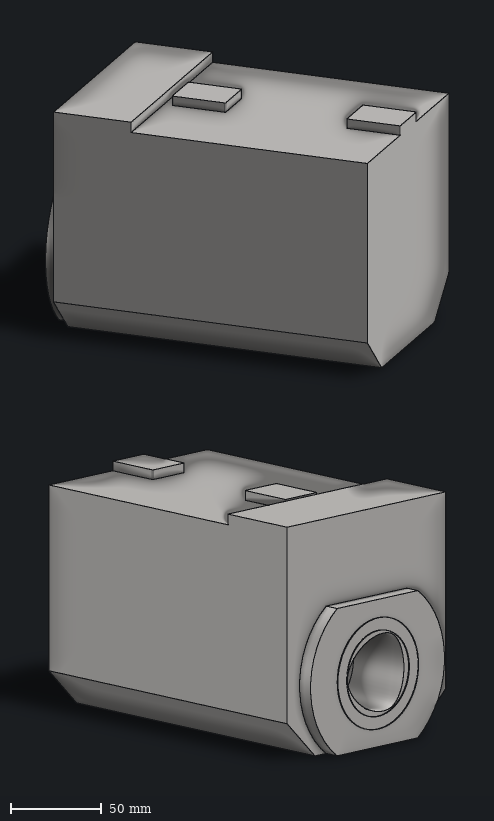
import cadquery as cq
import math

total_length = 195.0
body_width = 124.0
head_height = 133.0
deck_height = 127.0
bottom_chamfer = 21.8
body_start = 9.2
head_end = 55.2

spindle_height = 41.7
flange_radius = 52.3
flange_start = 0.5
spindle_diameter = 63.0

recess_diameter = 48.5
recess_depth = 0.5
socket_mouth_radius = 22.0
socket_floor_radius = 20.9
lobe_size = 1.46
lobe_count = 3
socket_depth = 38.0
profile_points = 48

key_length = 31.5
key_width = 24.5
key_top = 132.5
key_corner_radius = 0.49
key_starts = (60.0, total_length - key_length)


def make_body():
    """Chamfered block with a raised head at its front end."""
    half_width = body_width / 2
    foot_half_width = half_width - bottom_chamfer
    block = (
        cq.Workplane("YZ", origin=(body_start, 0, 0))
        .polyline([
            (-foot_half_width, 0),
            (foot_half_width, 0),
            (half_width, bottom_chamfer),
            (half_width, head_height),
            (-half_width, head_height),
            (-half_width, bottom_chamfer),
        ])
        .close()
        .extrude(total_length - body_start)
    )
    deck_cut = cq.Workplane("XY").box(
        total_length - head_end, body_width, head_height - deck_height, centered=(False, True, False)
    ).translate((head_end, 0, deck_height))
    return block.cut(deck_cut)


def axial_cylinder(radius, start, end):
    """Cylinder along the spindle axis between two X positions."""
    return (
        cq.Workplane("YZ", origin=(start, 0, spindle_height))
        .circle(radius)
        .extrude(end - start)
    )


def make_flange():
    flats = cq.Workplane("XY").box(
        body_start, 2 * flange_radius, 2 * spindle_height, centered=(False, True, False)
    )
    return axial_cylinder(flange_radius, flange_start, body_start).intersect(flats)


def lobed_point(angle, mean_radius):
    """Point on a constant-width curve with one lobe pointing toward +Y."""
    support = mean_radius + lobe_size * math.cos(lobe_count * angle)
    slope = -lobe_count * lobe_size * math.sin(lobe_count * angle)
    return (
        support * math.cos(angle) - slope * math.sin(angle),
        support * math.sin(angle) + slope * math.cos(angle),
    )


def lobed_outline(mean_radius):
    step = 2 * math.pi / profile_points
    return [lobed_point(i * step, mean_radius) for i in range(profile_points)]


def make_socket():
    return (
        cq.Workplane("YZ", origin=(recess_depth, 0, spindle_height))
        .spline(lobed_outline(socket_mouth_radius), periodic=True)
        .close()
        .workplane(offset=socket_depth)
        .spline(lobed_outline(socket_floor_radius), periodic=True)
        .close()
        .loft(ruled=True)
    )


def make_key(start):
    return (
        cq.Workplane("XY")
        .box(key_length, key_width, key_top - deck_height, centered=(False, True, False))
        .edges("|Z")
        .fillet(key_corner_radius)
        .translate((start, 0, deck_height))
    )


result = make_body().union(make_flange())
result = result.union(axial_cylinder(spindle_diameter / 2, 0, body_start))
for key_start in key_starts:
    result = result.union(make_key(key_start))
result = result.cut(axial_cylinder(recess_diameter / 2, 0, recess_depth))
result = result.cut(make_socket())